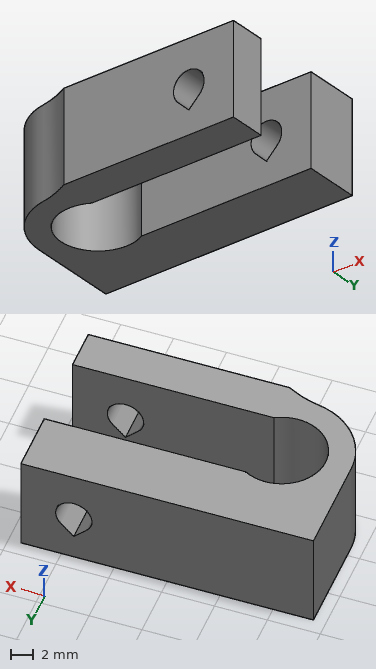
import cadquery as cq
import math

length = 27.67
height = 10.0
back_depth = 9.57
front_depth = 7.6

bore_radius = 4.15
slot_width = 7.2
outer_radius = 6.55

blend_start_angle = math.radians(9.5)
blend_end_angle = math.radians(27.5)
blend_radius = 8.97

cross_hole_radius = 1.72
cross_hole_end_distance = 5.0

left_x = -outer_radius
right_x = left_x + length
slot_start_x = math.sqrt(bore_radius**2 - (slot_width / 2) ** 2)


def point_on_arc(center, radius, angle):
    """Point on a circle, with the angle measured from +X."""
    return (center[0] + radius * math.cos(angle), center[1] + radius * math.sin(angle))


def make_body():
    corner_end_angle = -math.pi / 2 - blend_start_angle
    corner_middle = point_on_arc((0, 0), outer_radius, (corner_end_angle - math.pi) / 2)
    corner_end = point_on_arc((0, 0), outer_radius, corner_end_angle)

    blend_center = point_on_arc((0, 0), outer_radius + blend_radius, corner_end_angle)
    blend_middle_angle = math.pi / 2 - (blend_start_angle + blend_end_angle) / 2
    blend_middle = point_on_arc(blend_center, blend_radius, blend_middle_angle)
    blend_end = point_on_arc(blend_center, blend_radius, math.pi / 2 - blend_end_angle)

    return (
        cq.Workplane("XY")
        .moveTo(right_x, back_depth)
        .lineTo(left_x, back_depth)
        .lineTo(left_x, 0)
        .threePointArc(corner_middle, corner_end)
        .threePointArc(blend_middle, blend_end)
        .lineTo(slot_start_x, -front_depth)
        .lineTo(right_x, -front_depth)
        .close()
        .extrude(height)
    )


def make_bore_and_slot():
    bore = cq.Workplane("XY").circle(bore_radius).extrude(height)
    slot = cq.Workplane("XY").box(right_x, slot_width, height, centered=(False, True, False))
    return bore.union(slot)


def make_cross_hole():
    tangent_offset = cross_hole_radius / math.sqrt(2)
    return (
        cq.Workplane("XZ", origin=(right_x - cross_hole_end_distance, back_depth, height / 2))
        .moveTo(-tangent_offset, -tangent_offset)
        .threePointArc((0, cross_hole_radius), (tangent_offset, -tangent_offset))
        .lineTo(0, -cross_hole_radius * math.sqrt(2))
        .close()
        .extrude(back_depth + front_depth)
    )


result = make_body().cut(make_bore_and_slot()).cut(make_cross_hole())